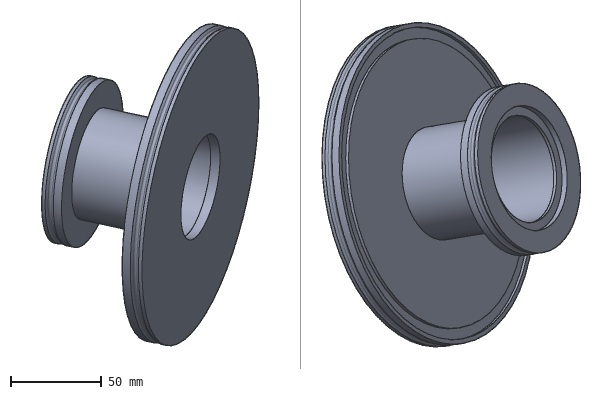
import cadquery as cq

overall_length = 76.1
flange_thickness = 11.9

bore_radius = 60.1 / 2
tube_radius = 63.5 / 2
tube_end_inset = 5.5

small_radius = 95.0 / 2
recess_radius = 70.0 / 2
recess_depth = 3.6

large_radius = 180 / 2
face_groove_outer_radius = 175.0 / 2
face_groove_inner_radius = 162.4 / 2
face_groove_depth = 2.0

rim_groove_start = 2.2
rim_groove_end = 7.0
rim_groove_floor_width = 2.2
rim_groove_side_depth = 1.0
rim_groove_depth = 1.6


def cylinder(radius, start, end):
    """Solid cylinder along the X axis between two X positions."""
    return cq.Workplane("YZ").workplane(offset=start).circle(radius).extrude(end - start)


def ring(outer_radius, inner_radius, start, end):
    """Hollow cylinder along the X axis between two X positions."""
    return cylinder(outer_radius, start, end).cut(cylinder(inner_radius, start, end))


def rim_groove(radius, outer_face, inward):
    """Groove cutter with sloped sides and a rounded floor; inward is +1 or -1, the X direction into the flange."""
    middle = (rim_groove_start + rim_groove_end) / 2
    floor_start = middle - rim_groove_floor_width / 2
    floor_end = middle + rim_groove_floor_width / 2
    side_radius = radius - rim_groove_side_depth
    floor_radius = radius - rim_groove_depth
    return (
        cq.Workplane("XY")
        .moveTo(outer_face + inward * rim_groove_start, radius)
        .lineTo(outer_face + inward * floor_start, side_radius)
        .threePointArc(
            (outer_face + inward * middle, floor_radius),
            (outer_face + inward * floor_end, side_radius),
        )
        .lineTo(outer_face + inward * rim_groove_end, radius)
        .close()
        .revolve(360, (0, 0, 0), (1, 0, 0))
    )


def make_small_flange():
    """Flange at the -X end, with a recessed mouth and a socket for the tube."""
    flange = ring(small_radius, bore_radius, 0, flange_thickness)
    flange = flange.cut(rim_groove(small_radius, 0, 1))
    flange = flange.cut(cylinder(recess_radius, 0, recess_depth))
    return flange.cut(cylinder(tube_radius, tube_end_inset, flange_thickness))


def make_large_flange():
    """Flange at the +X end, with a shallow face groove and a socket for the tube."""
    inner_face = overall_length - flange_thickness
    flange = ring(large_radius, bore_radius, inner_face, overall_length)
    flange = flange.cut(rim_groove(large_radius, overall_length, -1))
    face_groove = ring(
        face_groove_outer_radius,
        face_groove_inner_radius,
        inner_face,
        inner_face + face_groove_depth,
    )
    flange = flange.cut(face_groove)
    return flange.cut(cylinder(tube_radius, inner_face, overall_length - tube_end_inset))


def make_tube():
    """Tube joining the two flange sockets."""
    return ring(tube_radius, bore_radius, tube_end_inset, overall_length - tube_end_inset)


small_flange = make_small_flange()
large_flange = make_large_flange()
tube = make_tube()

result = cq.Compound.makeCompound([small_flange.val(), large_flange.val(), tube.val()])